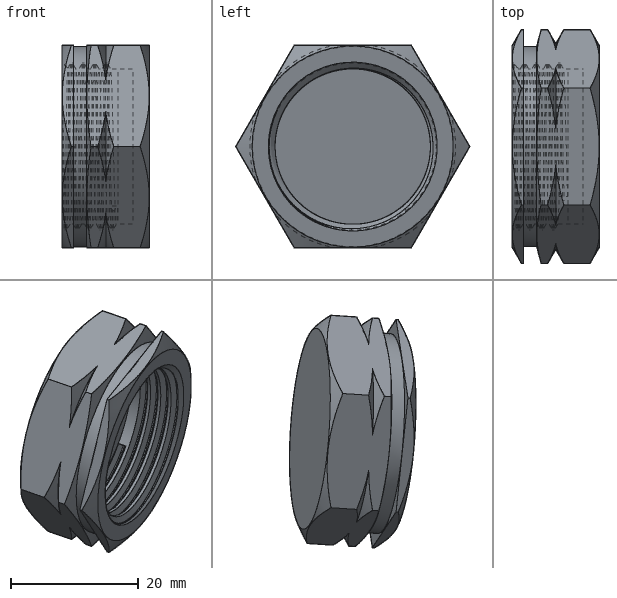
import cadquery as cq
import math


hexagon_sides = 6
across_flats = 31.75
cap_length = 13.72
across_corners = across_flats / math.cos(math.pi / hexagon_sides)
corner_radius = across_corners / 2

face_radius = 15.77
chamfer_angle = 30
chamfer_depth = (corner_radius - face_radius) * math.tan(math.radians(chamfer_angle))

groove_start = 1.83
groove_end = 3.86
groove_radius = 15.7
groove_cone_angle = 15
groove_cone_depth = (corner_radius - groove_radius) * math.tan(math.radians(groove_cone_angle))

notch_center = 6.86
notch_radius = 16.13
notch_half_angle = 30
notch_half_width = (corner_radius - notch_radius) * math.tan(math.radians(notch_half_angle))

bore_radius = 12.17
mouth_radius = 13.23
mouth_chamfer_angle = 45
mouth_depth = (mouth_radius - bore_radius) / math.tan(math.radians(mouth_chamfer_angle))
thread_pitch = 25.4 / 14
thread_radius = 13.1
thread_root_width = thread_pitch / 8
thread_flank_angle = 30
thread_end = 8.06
thread_end_angle = -40
thread_overlap = 0.1

gasket_face = 8.75
gasket_thickness = 2.4
gasket_bottom = gasket_face + gasket_thickness


def make_envelope():
    """Turned envelope that trims the hexagon: end chamfers, groove and V notch."""
    return (
        cq.Workplane("XY")
        .moveTo(0, 0)
        .lineTo(0, face_radius)
        .lineTo(chamfer_depth, corner_radius)
        .lineTo(groove_start, corner_radius)
        .lineTo(groove_start, groove_radius)
        .lineTo(groove_end, groove_radius)
        .lineTo(groove_end + groove_cone_depth, corner_radius)
        .lineTo(notch_center - notch_half_width, corner_radius)
        .lineTo(notch_center, notch_radius)
        .lineTo(notch_center + notch_half_width, corner_radius)
        .lineTo(cap_length - chamfer_depth, corner_radius)
        .lineTo(cap_length, face_radius)
        .lineTo(cap_length, 0)
        .close()
        .revolve(360, (0, 0, 0), (1, 0, 0))
    )


def make_bore():
    """Plain bore with its conical mouth, deep enough to take the gasket."""
    return (
        cq.Workplane("XY")
        .moveTo(0, 0)
        .lineTo(0, mouth_radius)
        .lineTo(mouth_depth, bore_radius)
        .lineTo(gasket_bottom, bore_radius)
        .lineTo(gasket_bottom, 0)
        .close()
        .revolve(360, (0, 0, 0), (1, 0, 0))
    )


def make_thread_groove():
    """Left-hand helical V groove that starts outside the mouth and ends at thread_end."""
    inner_radius = bore_radius - thread_overlap
    half_root = thread_root_width / 2
    half_mouth = half_root + (thread_radius - inner_radius) * math.tan(math.radians(thread_flank_angle))
    helix_length = thread_end + thread_pitch
    helix = cq.Wire.makeHelix(thread_pitch, helix_length, thread_radius, lefthand=True)
    groove = (
        cq.Workplane("XZ")
        .moveTo(inner_radius, -half_mouth)
        .lineTo(thread_radius, -half_root)
        .lineTo(thread_radius, half_root)
        .lineTo(inner_radius, half_mouth)
        .close()
        .sweep(cq.Workplane(obj=helix), isFrenet=True)
    )
    turn = thread_end_angle + 360 * helix_length / thread_pitch
    return (
        groove.rotate((0, 0, 0), (0, 0, 1), turn)
        .translate((0, 0, -thread_pitch))
        .rotate((0, 0, 0), (0, 1, 0), 90)
    )


def make_cap():
    """Trimmed hexagon with the threaded blind bore."""
    hexagon = cq.Workplane("YZ").polygon(hexagon_sides, across_corners).extrude(cap_length)
    return hexagon.intersect(make_envelope()).cut(make_thread_groove()).cut(make_bore())


def make_gasket():
    """Flat disc that fills the bottom of the bore."""
    return cq.Workplane("YZ").workplane(offset=gasket_face).circle(bore_radius).extrude(gasket_thickness)


cap = make_cap()
gasket = make_gasket()

result = cq.Compound.makeCompound([cap.val(), gasket.val()])